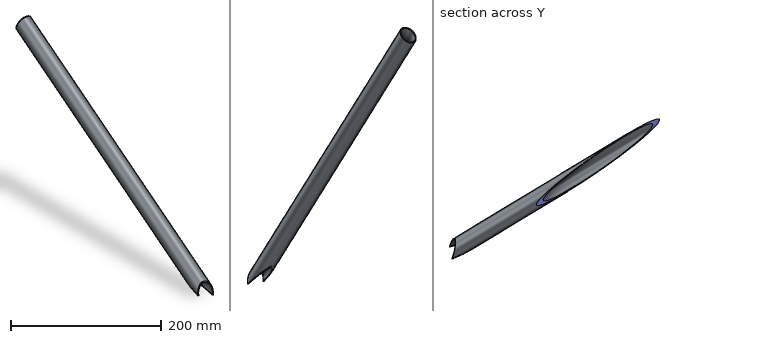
import cadquery as cq
tube_direction = cq.Vector(1, -0.142, -0.54).normalized()
tube_diameter = 25.0
wall = 1.5
inner_diameter = tube_diameter - 2 * wall
stock_length = 525
stock_overrun = 40.5

mitre_normal = cq.Vector(-1, 0.1, 0.3)

ridge_centre = cq.Vector(397.0, -56.5, -217.0)
ridge_direction = cq.Vector(1.5, 5.9, -2)
upper_cut_direction = cq.Vector(-1.6, 0, 5.3)
lower_cut_direction = cq.Vector(-8.5, 0.8, 2.2)

waste_size = 242.2


def rod(diameter):
    """Solid cylinder along the tube axis, overrunning both finished ends."""
    plane = cq.Plane(tube_direction * -stock_overrun, normal=tube_direction)
    return cq.Workplane(plane).circle(diameter / 2).extrude(stock_length)


def waste(point, normal):
    """Block filling the side of a cutting plane that its normal points to."""
    return cq.Workplane(cq.Plane(point, normal=normal)).rect(waste_size, waste_size).extrude(waste_size)


result = rod(tube_diameter).cut(rod(inner_diameter))
result = result.cut(waste(cq.Vector(0, 0, 0), mitre_normal))
result = result.cut(waste(ridge_centre, ridge_direction.cross(upper_cut_direction)))
result = result.cut(waste(ridge_centre, lower_cut_direction.cross(ridge_direction)))